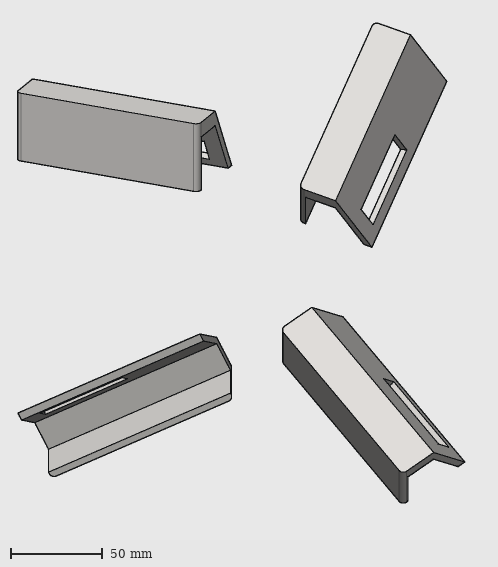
import cadquery as cq
import math

length = 110.0
depth = 43.0
height = 40.0

top_depth = 21.6
top_thickness = 8.7
front_thickness = 4.0
foot_width = 4.7
corner_radius = 3.0

slot_length = 49.5
slot_end_margin = 10.1
slot_width = 14.7
slot_foot_margin = 7.3

slope_run = depth - top_depth
slope_angle = math.atan2(height, slope_run)
inner_height = height - top_thickness
inner_run = inner_height / math.tan(slope_angle)


def make_body():
    """Extrude the Y-Z section along X and round the front corners."""
    inner_foot = depth - foot_width
    section = [
        (0, 0),
        (0, height),
        (top_depth, height),
        (depth, 0),
        (inner_foot, 0),
        (inner_foot - inner_run, inner_height),
        (front_thickness, inner_height),
        (front_thickness, 0),
    ]
    body = cq.Workplane("YZ").polyline(section).close().extrude(length)
    return body.edges("|Z and <Y").fillet(corner_radius)


def make_slot():
    """Cutter running square to the sloping wall, centred on its outer face."""
    outer_face = cq.Plane(
        origin=(0, depth, 0),
        xDir=(1, 0, 0),
        normal=(0, math.sin(slope_angle), math.cos(slope_angle)),
    )
    slot_x = length - slot_end_margin - slot_length / 2
    slot_y = -(slot_foot_margin + slot_width / 2)
    cut_reach = 2 * foot_width * math.sin(slope_angle)
    return (
        cq.Workplane(outer_face)
        .center(slot_x, slot_y)
        .rect(slot_length, slot_width)
        .extrude(cut_reach, both=True)
    )


result = make_body().cut(make_slot())